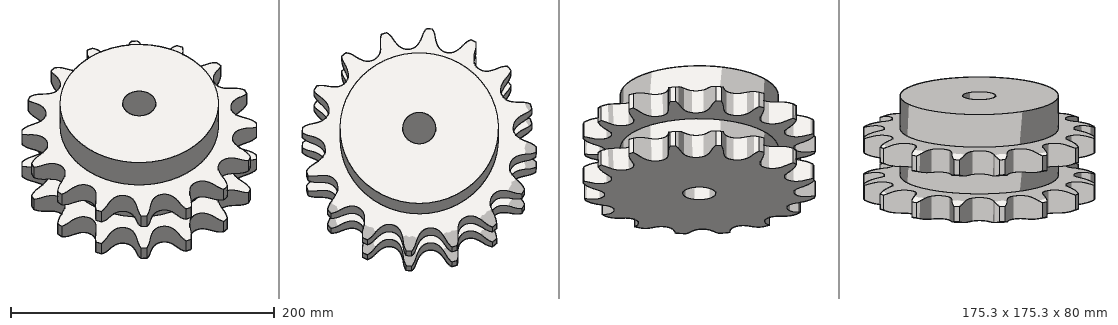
import cadquery as cq
import math

total_height = 80.0
hub_diameter = 120.0
bore_diameter = 25.0

plate_thickness = 18.0
plate_spacing = 36.5
plate_count = 2

tooth_count = 16
chain_pitch = 31.7
roller_diameter = 19.1
seat_clearance = 0.039
tip_diameter = 178.0
tip_radius = tip_diameter / 2

flat_face_radius = 74.7
tip_drop = 3.2

half_tooth_angle = math.pi / tooth_count
pitch_radius = chain_pitch / (2 * math.sin(half_tooth_angle))
seat_angle = math.radians(35 + 60 / tooth_count)
working_angle = math.radians(18 - 56 / tooth_count)
flank_angle = seat_angle - working_angle
seat_radius = 0.5025 * roller_diameter + seat_clearance
working_offset = 0.8 * roller_diameter
working_radius = working_offset + seat_radius
topping_offset = 1.4 * roller_diameter


def polar(center, radius, angle):
    """Point at a distance and an angle (radians, from +X) from a centre."""
    return (center[0] + radius * math.cos(angle), center[1] + radius * math.sin(angle))


def gap_flank():
    """Points of one tooth-gap flank, from the seat bottom to the tooth tip.

    The gap lies on the +Y axis and the flank is on its -X side. The flank is a seat arc,
    a hollow working arc, a short straight and a convex topping arc.
    """
    seat_center = (0, pitch_radius)
    working_center = polar(seat_center, working_offset, seat_angle)
    topping_center = polar(seat_center, topping_offset, math.pi + half_tooth_angle)

    span_x = working_center[0] - topping_center[0]
    span_y = working_center[1] - topping_center[1]
    span_on_normal = span_x * math.cos(flank_angle) + span_y * math.sin(flank_angle)
    topping_radius = span_on_normal - working_radius

    center_distance = math.hypot(*topping_center)
    center_angle = math.atan2(topping_center[1], topping_center[0])
    tip_offset = math.acos(
        (tip_radius**2 + center_distance**2 - topping_radius**2) / (2 * tip_radius * center_distance)
    )
    tip = polar((0, 0), tip_radius, center_angle - tip_offset)
    tip_angle = math.atan2(tip[1] - topping_center[1], tip[0] - topping_center[0])

    return [
        (0, pitch_radius - seat_radius),
        polar(seat_center, seat_radius, math.pi + seat_angle),
        polar(working_center, working_radius, math.pi + seat_angle - working_angle / 2),
        polar(working_center, working_radius, math.pi + flank_angle),
        polar(topping_center, topping_radius, flank_angle),
        polar(topping_center, topping_radius, (flank_angle + tip_angle) / 2),
        tip,
    ]


def turned(point, angle):
    """Point turned about the sprocket axis."""
    x, y = point
    return (
        x * math.cos(angle) - y * math.sin(angle),
        x * math.sin(angle) + y * math.cos(angle),
    )


def tooth_outline():
    """Closed outline of all the teeth, going clockwise from one tooth tip."""
    left = gap_flank()
    right = [(-x, y) for x, y in left]
    outline = cq.Workplane("XY").moveTo(*left[-1])
    for gap in range(tooth_count):
        angle = -2 * half_tooth_angle * gap
        seat_bottom, left_seat, left_hollow, left_low, left_high, left_convex, _ = [
            turned(point, angle) for point in left
        ]
        _, right_seat, right_hollow, right_low, right_high, right_convex, right_tip = [
            turned(point, angle) for point in right
        ]
        tooth_middle = turned((0, tip_radius), angle - half_tooth_angle)
        next_tip = turned(left[-1], angle - 2 * half_tooth_angle)
        outline = (
            outline.threePointArc(left_convex, left_high)
            .lineTo(*left_low)
            .threePointArc(left_hollow, left_seat)
            .threePointArc(seat_bottom, right_seat)
            .threePointArc(right_hollow, right_low)
            .lineTo(*right_high)
            .threePointArc(right_convex, right_tip)
            .threePointArc(tooth_middle, next_tip)
        )
    return outline.close()


def rounded_disc():
    """Disc whose faces curve inward toward the rim, tangent to the flat middle."""
    rounding_width = tip_radius - flat_face_radius
    rounding_radius = (rounding_width**2 + tip_drop**2) / (2 * tip_drop)
    half_sweep = math.asin(rounding_width / rounding_radius) / 2
    middle_radius = flat_face_radius + rounding_radius * math.sin(half_sweep)
    middle_drop = rounding_radius * (1 - math.cos(half_sweep))
    return (
        cq.Workplane("XZ")
        .lineTo(flat_face_radius, 0)
        .threePointArc((middle_radius, middle_drop), (tip_radius, tip_drop))
        .lineTo(tip_radius, plate_thickness - tip_drop)
        .threePointArc(
            (middle_radius, plate_thickness - middle_drop),
            (flat_face_radius, plate_thickness),
        )
        .lineTo(0, plate_thickness)
        .close()
        .revolve(360, (0, 0), (0, 1))
    )


toothed_plate = tooth_outline().extrude(plate_thickness).intersect(rounded_disc())

result = cq.Workplane("XY").circle(hub_diameter / 2).extrude(total_height)
for plate in range(plate_count):
    result = result.union(toothed_plate.translate((0, 0, plate * plate_spacing)))

bore = cq.Workplane("XY").circle(bore_diameter / 2).extrude(total_height)
result = result.cut(bore)